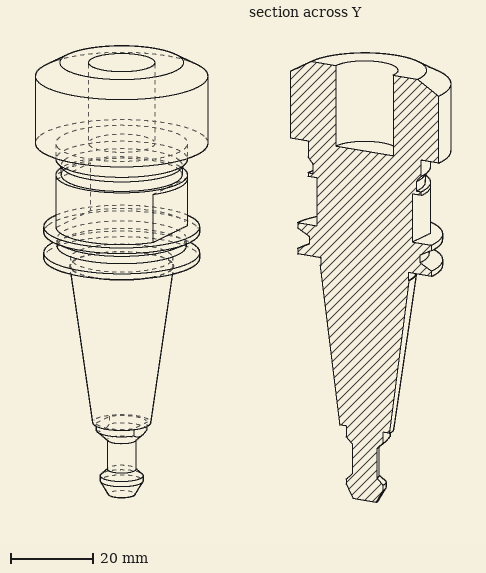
import cadquery as cq

total_height = 109.1

nut_radius = 21.0
nut_face_radius = 15.1
nut_chamfer_height = 3.4
nut_bottom = 88.7
bore_radius = 8.1
bore_depth = total_height - nut_bottom

body_radius = 16.0
body_groove_radius = 14.7
body_groove_top = 83.1
body_groove_bottom = 80.7
body_chamfer_height = 1.5
wrench_flat_distance = 13.5
wrench_flat_top = 79.8

flange_radius = 19.0
flange_groove_radius = 15.7
flange_top = 67.6
flange_bottom = 59.7
flange_rim_height = 1.4
flange_groove_side_height = 1.6

neck_radius = 12.4
taper_top = 57.7
taper_bottom = 18.1
taper_top_radius = 12.7
taper_bottom_radius = 7.1

stud_collar_radius = 6.2
stud_collar_bottom = 16.3
stud_flat_distance = 5.2
stud_neck_radius = 3.5
stud_neck_top = 13.7
stud_neck_bottom = 6.3
stud_head_radius = 5.2
stud_head_top = 4.7
stud_head_bottom = 3.4
stud_tip_radius = 3.3


def revolved_body():
    """Solid of revolution; the (radius, height) outline runs from the stud tip up to the nut face."""
    stud = [
        (0, 0),
        (stud_tip_radius, 0),
        (stud_head_radius, stud_head_bottom),
        (stud_head_radius, stud_head_top),
        (stud_neck_radius, stud_neck_bottom),
        (stud_neck_radius, stud_neck_top),
        (stud_collar_radius, stud_collar_bottom),
        (stud_collar_radius, taper_bottom),
    ]
    shank = [
        (taper_bottom_radius, taper_bottom),
        (taper_top_radius, taper_top),
        (neck_radius, taper_top),
        (neck_radius, flange_bottom),
    ]
    lower_rim = flange_bottom + flange_rim_height
    upper_rim = flange_top - flange_rim_height
    flange = [
        (flange_radius, flange_bottom),
        (flange_radius, lower_rim),
        (flange_groove_radius, lower_rim + flange_groove_side_height),
        (flange_groove_radius, upper_rim - flange_groove_side_height),
        (flange_radius, upper_rim),
        (flange_radius, flange_top),
    ]
    body = [
        (body_radius, flange_top),
        (body_radius, body_groove_bottom),
        (body_groove_radius, body_groove_bottom),
        (body_groove_radius, body_groove_top),
        (body_radius, body_groove_top + body_chamfer_height),
        (body_radius, nut_bottom),
    ]
    nut = [
        (nut_radius, nut_bottom),
        (nut_radius, total_height - nut_chamfer_height),
        (nut_face_radius, total_height),
        (0, total_height),
    ]
    outline = stud + shank + flange + body + nut
    return cq.Workplane("XZ").polyline(outline).close().revolve(360, (0, 0), (0, 1))


def cut_flats(part, distance, outer_radius, bottom, top):
    """Cut two opposite flats facing -X and +X at the given distance from the axis."""
    sleeve = cq.Workplane("XY").workplane(offset=bottom).circle(outer_radius).extrude(top - bottom)
    core = (
        cq.Workplane("XY")
        .workplane(offset=bottom)
        .rect(2 * distance, 2 * outer_radius)
        .extrude(top - bottom)
    )
    return part.cut(sleeve.cut(core))


def cut_bore(part):
    """Blind tool bore, opening at the nut face."""
    bore = cq.Workplane("XY").workplane(offset=total_height - bore_depth).circle(bore_radius).extrude(bore_depth)
    return part.cut(bore)


result = revolved_body()
result = cut_flats(result, wrench_flat_distance, flange_radius, flange_top, wrench_flat_top)
result = cut_flats(result, stud_flat_distance, taper_bottom_radius, stud_neck_top, taper_bottom)
result = cut_bore(result)